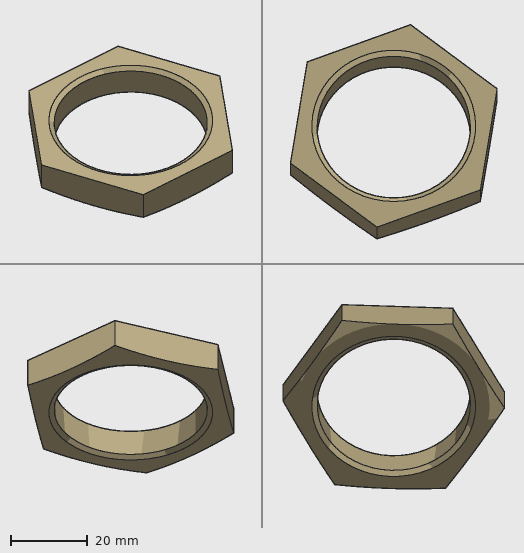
import cadquery as cq
import math

HEX_SIDES = 6
ACROSS_FLATS = 50.0
THICKNESS = 9.0
BORE_DIAMETER = 39.84
COUNTERSINK_DIAMETER = 42.6
COUNTERSINK_ANGLE = 30.0
CORNER_CHAMFER_ANGLE = 15.0
CHAMFER_CIRCLE_DIAMETER = ACROSS_FLATS
ENVELOPE_CLEARANCE = 1.0

ACROSS_CORNERS = ACROSS_FLATS / math.cos(math.pi / HEX_SIDES)
CORNER_RADIUS = ACROSS_CORNERS / 2
BORE_RADIUS = BORE_DIAMETER / 2
COUNTERSINK_RADIUS = COUNTERSINK_DIAMETER / 2
COUNTERSINK_DEPTH = (COUNTERSINK_RADIUS - BORE_RADIUS) * math.tan(math.radians(COUNTERSINK_ANGLE))


def revolved_about_z(profile):
    """Solid of revolution about Z from a closed list of (radius, height) points."""
    return cq.Workplane("XZ").polyline(profile).close().revolve(360, (0, 0, 0), (0, 1, 0))


def hexagon_blank():
    """Hexagonal prism on Z = 0 with two corners on the Y axis."""
    return (
        cq.Workplane("XY")
        .transformed(rotate=(0, 0, 90))
        .polygon(HEX_SIDES, ACROSS_CORNERS)
        .extrude(THICKNESS)
    )


def corner_chamfer_envelope():
    """Round body whose conical lower rim trims the bottom corners of the hexagon."""
    clear_radius = CORNER_RADIUS + ENVELOPE_CLEARANCE
    circle_radius = CHAMFER_CIRCLE_DIAMETER / 2
    cone_height = (clear_radius - circle_radius) * math.tan(math.radians(CORNER_CHAMFER_ANGLE))
    profile = [
        (0, 0),
        (circle_radius, 0),
        (clear_radius, cone_height),
        (clear_radius, THICKNESS),
        (0, THICKNESS),
    ]
    return revolved_about_z(profile)


def countersunk_bore():
    """Through bore with matching conical countersinks at both end faces."""
    profile = [
        (0, 0),
        (COUNTERSINK_RADIUS, 0),
        (BORE_RADIUS, COUNTERSINK_DEPTH),
        (BORE_RADIUS, THICKNESS - COUNTERSINK_DEPTH),
        (COUNTERSINK_RADIUS, THICKNESS),
        (0, THICKNESS),
    ]
    return revolved_about_z(profile)


result = hexagon_blank().intersect(corner_chamfer_envelope()).cut(countersunk_bore())